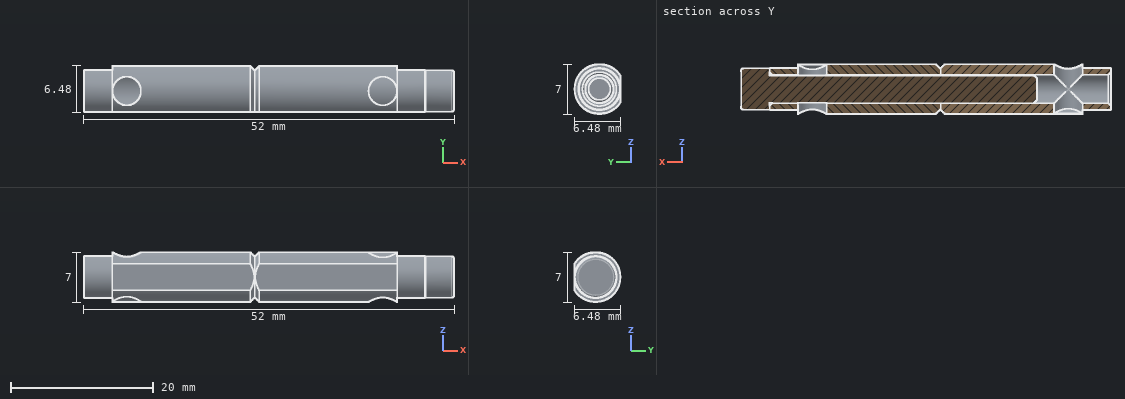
import cadquery as cq

total_length = 52.0
stub_length = 4.0
head_length = stub_length
barrel_length = (total_length - head_length) / 2

body_diameter = 7.0
stub_diameter = 5.95
stub_edge_chamfer = 0.1
flat_offset = stub_diameter / 2
joint_chamfer = 0.6
bore_diameter = 4.0
mouth_chamfer = 0.39
cross_hole_diameter = bore_diameter
cross_hole_offset = 2.05
skin_thickness = 0.1

head_diameter = 5.9
head_fillet = 0.4
shaft_diameter = 3.9
nose_chamfer = 0.4
nose_recess = 10.4


def rod(start, length, diameter):
    """Round bar along X."""
    return cq.Workplane("YZ", origin=(start, 0, 0)).circle(diameter / 2).extrude(length)


def make_barrel():
    """Barrel with its stub end at X = 0 and its cross hole opening upward."""
    body = rod(stub_length, barrel_length - stub_length, body_diameter)
    body = body.faces(">X").chamfer(joint_chamfer)
    stub = rod(0, stub_length, stub_diameter).faces("<X").chamfer(stub_edge_chamfer)
    barrel = body.union(stub)

    flat_cut = cq.Workplane("XY").box(
        barrel_length, body_diameter, body_diameter, centered=(False, False, True)
    ).translate((0, -flat_offset - body_diameter, 0))
    barrel = barrel.cut(flat_cut)

    barrel = barrel.cut(rod(0, barrel_length, bore_diameter))
    barrel = barrel.faces("<X").edges("%CIRCLE").edges(
        cq.selectors.RadiusNthSelector(0)
    ).chamfer(mouth_chamfer)

    hole_start = cq.Workplane("XY", origin=(stub_length + cross_hole_offset, 0, 0))
    cross_hole = hole_start.circle(cross_hole_diameter / 2).extrude(body_diameter, both=True)
    upper_hole = hole_start.circle(cross_hole_diameter / 2).extrude(body_diameter)
    skin_inside = rod(0, barrel_length, body_diameter - 2 * skin_thickness)
    return barrel.cut(cross_hole.intersect(skin_inside)).cut(upper_hole)


def make_pin():
    """Pin whose head closes the far stub and whose shaft runs through both bores."""
    head_start = total_length - head_length
    head = rod(head_start, head_length, head_diameter)
    head = head.faces(">X").edges().fillet(head_fillet)
    shaft = rod(nose_recess, head_start - nose_recess, shaft_diameter)
    shaft = shaft.faces("<X").chamfer(nose_chamfer)
    return head.union(shaft)


barrels = []
for turn in (0, 180):
    barrels.append(make_barrel().rotate((barrel_length, 0, 0), (barrel_length, 1, 0), turn))
pin = make_pin()

result = cq.Compound.makeCompound([*[barrel.val() for barrel in barrels], pin.val()])